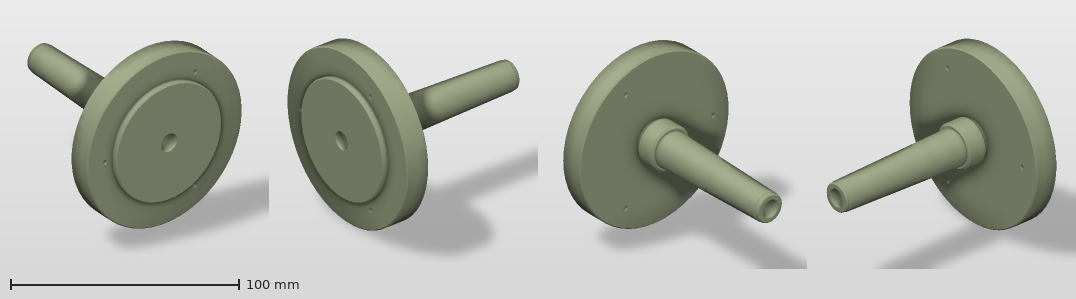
import cadquery as cq

length = 94.2
spigot_length = 3.0
flange_thickness = 12.1
spigot_start = length - spigot_length
flange_start = spigot_start - flange_thickness
collar_start = 67.8
collar_end = 78.0
tip_end = 2.0
taper_start = 2.3

tip_diameter = 14.0
taper_small_diameter = 14.7
taper_large_diameter = 18.0
collar_diameter = 22.0
neck_diameter = 20.0
flange_diameter = 85.0
spigot_diameter = 58.0
bore_diameter = 8.9

edge_chamfer = 0.6
collar_chamfer = 1.0

hole_diameter = 2.45
hole_circle_radius = 33.1
hole_count = 3
first_hole_angle = 180


def disc(start, end, diameter):
    """Solid cylinder along X between two positions."""
    return cq.Workplane("YZ", origin=(start, 0, 0)).circle(diameter / 2).extrude(end - start)


def tapered_shank():
    """Taper up to the collar, led in by a short steep cone behind the tip."""
    profile = [
        (tip_end, 0),
        (tip_end, tip_diameter / 2),
        (taper_start, taper_small_diameter / 2),
        (collar_start, taper_large_diameter / 2),
        (collar_start, 0),
    ]
    return cq.Workplane("XY").polyline(profile).close().revolve(360, (0, 0, 0), (1, 0, 0))


tip = disc(0, tip_end, tip_diameter).faces("<X").chamfer(edge_chamfer)
collar = disc(collar_start, collar_end, collar_diameter).faces("<X or >X").chamfer(collar_chamfer)
neck = disc(collar_end, flange_start, neck_diameter)
flange = disc(flange_start, spigot_start, flange_diameter).faces("<X or >X").chamfer(edge_chamfer)
spigot = disc(spigot_start, length, spigot_diameter).faces(">X").chamfer(edge_chamfer)

body = tip.union(tapered_shank()).union(collar).union(neck).union(flange).union(spigot)

bore = disc(0, length, bore_diameter)
mounting_holes = (
    cq.Workplane("YZ", origin=(flange_start, 0, 0))
    .polarArray(hole_circle_radius, first_hole_angle, 360, hole_count)
    .circle(hole_diameter / 2)
    .extrude(flange_thickness)
)

result = body.cut(bore).cut(mounting_holes)